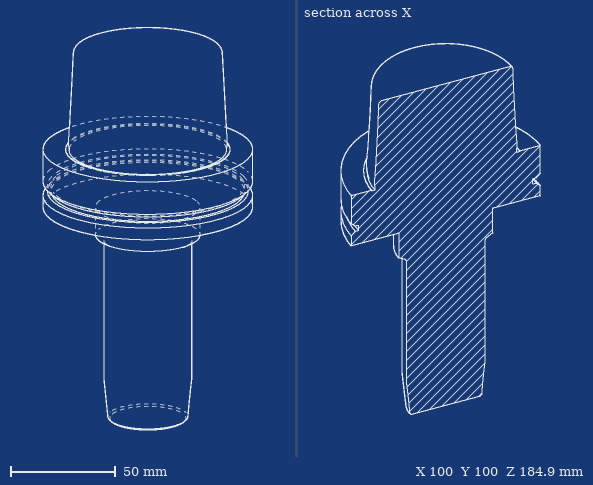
import cadquery as cq

total_length = 184.9
flange_radius = 50.02
flange_top = 135.0
flange_bottom = 106.0

taper_top_radius = 35.5
taper_base_radius = 37.9
taper_base = 137.5
taper_top_fillet = 2.0
relief_neck_radius = 37.5
relief_neck_top = 136.0

face_groove_radius = 39.2
face_groove_depth = 0.4

groove_center = 115.29
groove_mouth_width = 6.8
groove_slot_width = 2.8
groove_rim_radius = 47.9
groove_floor_radius = 46.13

collar_radius = 25.0
collar_bottom = 91.9
shaft_radius = 20.99
shaft_top = 89.7
shaft_corner_fillet = 1.3

tip_length = 20.0
tip_end_radius = 19.0
tip_chamfer = 1.0


def turned(profile):
    """Revolve a closed (radius, height) outline about the Z axis."""
    return cq.Workplane("XZ").polyline(profile).close().revolve(360, (0, 0), (0, 1))


def make_taper():
    body = turned([
        (0, flange_top - face_groove_depth),
        (relief_neck_radius, flange_top - face_groove_depth),
        (relief_neck_radius, relief_neck_top),
        (taper_base_radius, taper_base),
        (taper_top_radius, total_length),
        (0, total_length),
    ])
    return body.faces(">Z").edges().fillet(taper_top_fillet)


def make_flange():
    mouth = groove_mouth_width / 2
    slot = groove_slot_width / 2
    return turned([
        (0, flange_bottom),
        (flange_radius, flange_bottom),
        (flange_radius, groove_center - mouth),
        (groove_rim_radius, groove_center - slot),
        (groove_floor_radius, groove_center - slot),
        (groove_floor_radius, groove_center + slot),
        (groove_rim_radius, groove_center + slot),
        (flange_radius, groove_center + mouth),
        (flange_radius, flange_top),
        (face_groove_radius, flange_top),
        (face_groove_radius, flange_top - face_groove_depth),
        (0, flange_top - face_groove_depth),
    ])


def make_shaft():
    shaft = turned([
        (0, tip_length),
        (shaft_radius, tip_length),
        (shaft_radius, shaft_top),
        (collar_radius, collar_bottom),
        (collar_radius, flange_bottom),
        (0, flange_bottom),
    ])
    inner_corner = shaft.faces("%CONE").edges("<Z")
    return inner_corner.fillet(shaft_corner_fillet)


def make_tip():
    tip = turned([
        (0, 0),
        (tip_end_radius, 0),
        (shaft_radius, tip_length),
        (0, tip_length),
    ])
    return tip.faces("<Z").edges().chamfer(tip_chamfer)


result = make_taper().union(make_flange()).union(make_shaft()).union(make_tip())